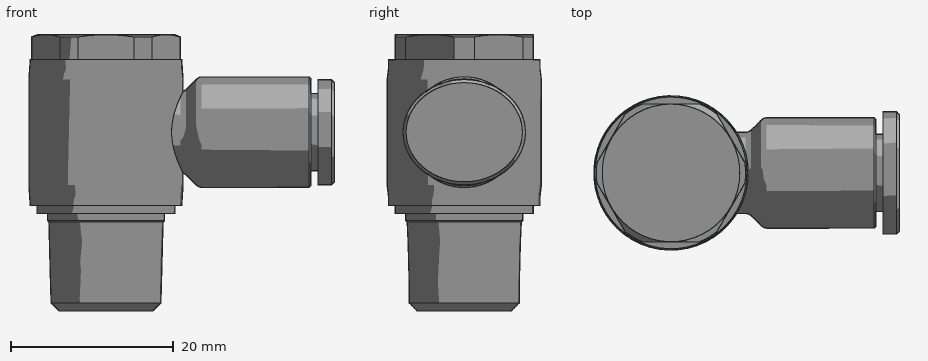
import cadquery as cq
import math


total_length = 37.6

total_height = 34.0
thread_tip_chamfer = 1.0
thread_top = 10.98
collar_top = 12.0
body_bottom = 12.97
lower_taper_top = 15.5
upper_taper_bottom = 28.45
body_top = 30.9

thread_tip_radius = 6.75
thread_top_radius = 7.05
collar_radius = 7.22
collar_chamfer = 0.15
body_radius = 19.0 / 2
body_end_radius = 9.32

hex_across_flats = 17.0
flange_radius = hex_across_flats / 2
hex_corner_radius = 9.17
hex_top_radius = 8.45
hex_chamfer_angle = 22

arm_height = 22.0
neck_radius = 5.0
arm_radius = 6.8
cone_start = 9.6
cone_end = cone_start + arm_radius - neck_radius
cone_blend_radius = 0.98
arm_end = 25.2
arm_end_chamfer = 0.23

ring_neck_radius = 4.78
ring_start = 26.05
ring_end = total_length - body_radius
ring_half_width = 7.52
ring_half_height = 6.45
ring_chamfer = 0.38


def turned_body():
    """Thread, collar, flange and swivel body turned about Z."""
    outline = [
        (0, 0),
        (thread_tip_radius - thread_tip_chamfer, 0),
        (thread_tip_radius, thread_tip_chamfer),
        (thread_top_radius, thread_top),
        (collar_radius - collar_chamfer, thread_top),
        (collar_radius, thread_top + collar_chamfer),
        (collar_radius, collar_top),
        (flange_radius, collar_top),
        (flange_radius, body_bottom),
        (body_end_radius, body_bottom),
        (body_radius, lower_taper_top),
        (body_radius, upper_taper_bottom),
        (body_end_radius, body_top),
        (0, body_top),
    ]
    return cq.Workplane("XZ").polyline(outline).close().revolve(360, (0, 0), (0, 1))


def hex_head():
    """Hexagon with corners on the X axis, its corners turned down and its top edge chamfered."""
    hex_across_corners = hex_across_flats / math.cos(math.radians(30))
    chamfer_drop = (hex_corner_radius - hex_top_radius) * math.tan(math.radians(hex_chamfer_angle))
    hexagon = (
        cq.Workplane("XY")
        .workplane(offset=body_top)
        .polygon(6, hex_across_corners)
        .extrude(total_height - body_top)
    )
    turned_blank = (
        cq.Workplane("XZ")
        .moveTo(0, body_top)
        .lineTo(hex_corner_radius, body_top)
        .lineTo(hex_corner_radius, total_height - chamfer_drop)
        .lineTo(hex_top_radius, total_height)
        .lineTo(0, total_height)
        .close()
        .revolve(360, (0, 0), (0, 1))
    )
    return hexagon.intersect(turned_blank)


def socket_arm():
    """Neck, blended cone and socket barrel turned about the arm axis."""
    outline = [
        (0, 0),
        (0, neck_radius),
        (cone_start, neck_radius),
        (cone_end, arm_radius),
        (arm_end - arm_end_chamfer, arm_radius),
        (arm_end, arm_radius - arm_end_chamfer),
        (arm_end, ring_neck_radius),
        (ring_start, ring_neck_radius),
        (ring_start, 0),
    ]
    arm = cq.Workplane("XZ").polyline(outline).close().revolve(360, (0, 0), (1, 0))
    cone_rims = arm.edges(
        cq.selectors.BoxSelector(
            (neck_radius, -arm_radius, -arm_radius),
            ((cone_end + arm_end) / 2, arm_radius, arm_radius),
        )
    ).edges("%CIRCLE")
    return cone_rims.fillet(cone_blend_radius).translate((0, 0, arm_height))


def release_ring():
    """Oval ring with a chamfered outer rim."""
    return (
        cq.Workplane("YZ", origin=(ring_start, 0, arm_height))
        .ellipse(ring_half_width, ring_half_height)
        .extrude(ring_end - ring_start)
        .faces(">X")
        .chamfer(ring_chamfer)
    )


result = turned_body().union(hex_head()).union(socket_arm()).union(release_ring())